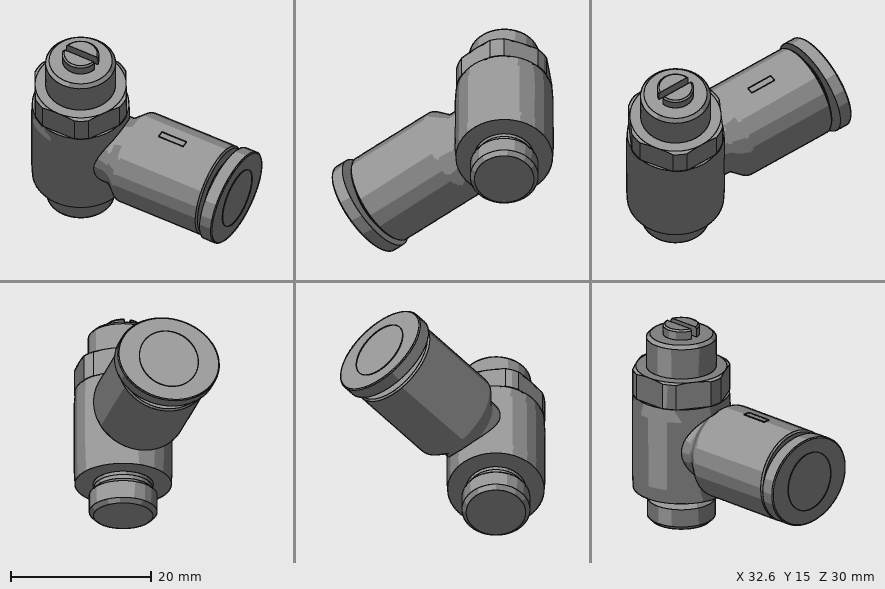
import cadquery as cq
import math


thread_radius = 4.85
thread_top = 3.25
thread_chamfer = 0.6
neck_radius = 4.15
neck_flare_start = 4.55
neck_flare_radius = 4.3

body_bottom = 5.0
body_top = 19.5
body_radius = 7.0
body_end_radius = 6.9
body_taper_length = 2.0

hex_height = 4.0
hex_across_flats = 13.0
hex_chamfer_width = 0.5
hex_chamfer_height = 0.2

knob_radius = 5.0
knob_height = 5.0
knob_chamfer = 0.5
screw_radius = 2.6
screw_height = 1.5
screw_chamfer = 0.25
slot_width = 1.0

arm_z = 13.0
arm_neck_radius = 5.0
arm_radius = 6.8
cone_start_x = 6.9
cone_end_x = 9.0
cone_root_fillet = 0.95
cone_rim_fillet = 0.8
arm_end_x = 22.7
arm_end_chamfer = 0.25

collar_neck_radius = 4.8
flange_start_x = 23.55
flange_end_x = 25.5
flange_half_width = 7.5
flange_half_height = 6.5
flange_chamfer = 0.15
lip_radius = 4.35
lip_end_x = 25.6

mark_start_x = 13.0
mark_length = 4.0
mark_width = 1.0
mark_height = 0.1

hex_top = body_top + hex_height
knob_top = hex_top + knob_height
screw_top = knob_top + screw_height


def make_disc(radius, bottom, top):
    """Upright cylinder on the valve axis."""
    return cq.Workplane("XY").workplane(offset=bottom).circle(radius).extrude(top - bottom)


def arm_plane(x):
    """Workplane across the arm, with local X along +Y and local Y along +Z."""
    return cq.Workplane("YZ", origin=(x, 0, arm_z))


def make_stud():
    bevel_top = thread_top + thread_radius - neck_radius
    return (
        cq.Workplane("XZ")
        .moveTo(0, 0)
        .lineTo(thread_radius - thread_chamfer, 0)
        .lineTo(thread_radius, thread_chamfer)
        .lineTo(thread_radius, thread_top)
        .lineTo(neck_radius, bevel_top)
        .lineTo(neck_radius, neck_flare_start)
        .lineTo(neck_flare_radius, body_bottom)
        .lineTo(0, body_bottom)
        .close()
        .revolve(360, (0, 0), (0, 1))
    )


def make_body():
    return (
        cq.Workplane("XZ")
        .moveTo(0, body_bottom)
        .lineTo(body_end_radius, body_bottom)
        .lineTo(body_radius, body_bottom + body_taper_length)
        .lineTo(body_radius, body_top - body_taper_length)
        .lineTo(body_end_radius, body_top)
        .lineTo(0, body_top)
        .close()
        .revolve(360, (0, 0), (0, 1))
    )


def make_hex():
    """Hexagon with two flats facing +Y and -Y, trimmed by a chamfered cylinder."""
    corner_diameter = hex_across_flats / math.cos(math.pi / 6)
    prism = (
        cq.Workplane("XY")
        .workplane(offset=body_top)
        .polygon(6, corner_diameter)
        .extrude(hex_height)
    )
    envelope = (
        cq.Workplane("XZ")
        .moveTo(0, body_top)
        .lineTo(body_radius, body_top)
        .lineTo(body_radius, hex_top - hex_chamfer_height)
        .lineTo(body_radius - hex_chamfer_width, hex_top)
        .lineTo(0, hex_top)
        .close()
        .revolve(360, (0, 0), (0, 1))
    )
    return prism.intersect(envelope)


def make_knob():
    return make_disc(knob_radius, hex_top, knob_top).faces(">Z").chamfer(knob_chamfer)


def make_screw():
    screw = make_disc(screw_radius, knob_top, screw_top).faces(">Z").chamfer(screw_chamfer)
    slot = (
        cq.Workplane("XY")
        .workplane(offset=knob_top)
        .rect(2 * screw_radius, slot_width)
        .extrude(screw_height)
    )
    return screw.cut(slot)


def make_arm():
    """Round arm starting at the valve axis, widening through a blended cone."""
    arm = (
        cq.Workplane("XY", origin=(0, 0, arm_z))
        .moveTo(0, 0)
        .lineTo(0, arm_neck_radius)
        .lineTo(cone_start_x, arm_neck_radius)
        .lineTo(cone_end_x, arm_radius)
        .lineTo(arm_end_x - arm_end_chamfer, arm_radius)
        .lineTo(arm_end_x, arm_radius - arm_end_chamfer)
        .lineTo(arm_end_x, 0)
        .close()
        .revolve(360, (0, 0), (1, 0))
    )
    for corner_x, fillet_radius in ((cone_start_x, cone_root_fillet), (cone_end_x, cone_rim_fillet)):
        corner = cq.selectors.NearestToPointSelector((corner_x, 0, arm_z))
        arm = arm.edges(corner).fillet(fillet_radius)
    return arm


def make_collar():
    neck = arm_plane(arm_end_x).circle(collar_neck_radius).extrude(flange_start_x - arm_end_x)
    flange = (
        arm_plane(flange_start_x)
        .ellipse(flange_half_width, flange_half_height)
        .extrude(flange_end_x - flange_start_x)
        .faces(">X")
        .chamfer(flange_chamfer)
    )
    lip = arm_plane(flange_end_x).circle(lip_radius).extrude(lip_end_x - flange_end_x)
    return neck.union(flange).union(lip)


def make_mark():
    """Block rising from the arm axis, so that only its top stands proud of the arm."""
    return (
        cq.Workplane("XY", origin=(mark_start_x + mark_length / 2, 0, arm_z))
        .rect(mark_length, mark_width)
        .extrude(arm_radius + mark_height)
    )


result = (
    make_body()
    .union(make_stud())
    .union(make_hex())
    .union(make_knob())
    .union(make_screw())
    .union(make_arm())
    .union(make_collar())
    .union(make_mark())
)